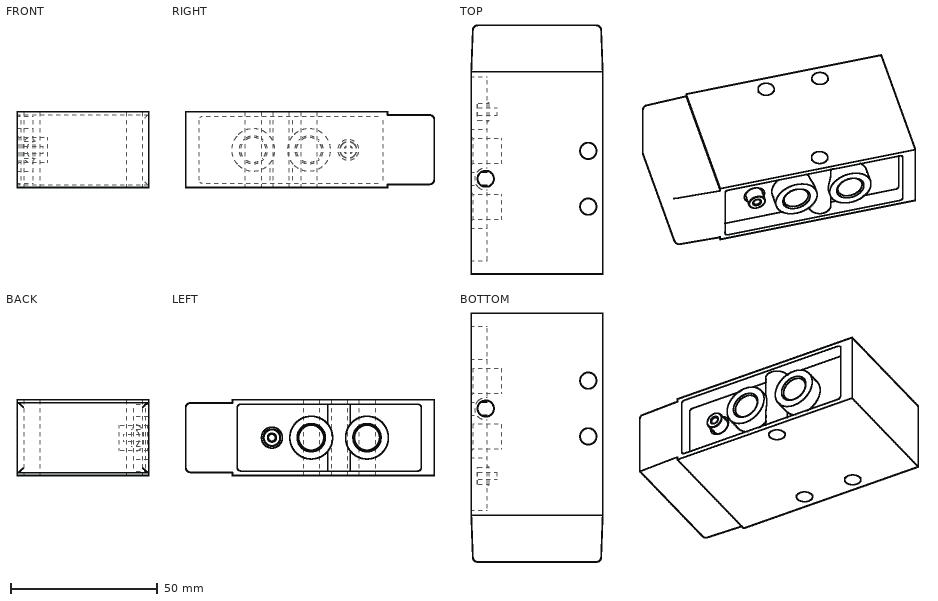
import cadquery as cq

length = 85.0
width = 45.0
height = 26.0
body_length = 69.0
side_face = -width / 2

cap_height = 23.8
cap_taper = 0.6
cap_edge_radius = 1.8

hole_diameter = 5.5
hole_x = 17.5

port_spacing = 19.0
port_middle_y = 32.55
port_ys = (port_middle_y - port_spacing / 2, port_middle_y + port_spacing / 2)
port_outer_diameter = 14.6
port_bore_diameter = 8.6
port_bore_depth = 10.2
port_chamfer = 0.5

pocket_start_y = 4.5
pocket_end_y = 67.3
pocket_wall = 1.6
pocket_depth = 5.35
pocket_corner_radius = 1.1
pocket_floor = side_face + pocket_depth

column_diameter = 7.65

pilot_y = 55.5
pilot_diameter = 5.8
pilot_recess = 1.9
pilot_edge_chamfer = 0.13
pilot_countersink_diameter = 7.1
pilot_bore_diameter = 2.5
pilot_bore_chamfer = 0.25
pilot_bore_depth = 6.8
pilot_front = side_face + pilot_recess


def side_cylinder(y, diameter, start_x, depth):
    """Cylinder along +X at mid height, starting at start_x."""
    plane = cq.Plane(origin=(start_x, y, 0), xDir=(0, 1, 0), normal=(1, 0, 0))
    return cq.Workplane(plane).circle(diameter / 2).extrude(depth)


def chamfer_cone(y, diameter, start_x, chamfer):
    """45 degree cone along +X that narrows to the given diameter."""
    radius = diameter / 2
    start = cq.Vector(start_x, y, 0)
    along_x = cq.Vector(1, 0, 0)
    cone = cq.Solid.makeCone(radius + chamfer, radius, chamfer, start, along_x)
    return cq.Workplane(cone)


def make_cap():
    end_half_width = width / 2 - cap_taper
    outline = [
        (-width / 2, body_length),
        (width / 2, body_length),
        (end_half_width, length),
        (-end_half_width, length),
    ]
    cap = cq.Workplane("XY").polyline(outline).close().extrude(cap_height / 2, both=True)
    return cap.faces(">Y").edges().fillet(cap_edge_radius)


def make_pocket():
    pocket_length = pocket_end_y - pocket_start_y
    pocket = cq.Workplane("XY").box(
        pocket_depth, pocket_length, height - 2 * pocket_wall, centered=(False, False, True)
    )
    pocket = pocket.edges("|X").fillet(pocket_corner_radius)
    return pocket.translate((side_face, pocket_start_y, 0))


def make_column():
    column = cq.Workplane("XY").center(-hole_x, port_middle_y).circle(column_diameter / 2)
    return column.extrude(height / 2, both=True)


def make_mounting_holes():
    centres = [(-hole_x, port_middle_y)] + [(hole_x, y) for y in port_ys]
    holes = cq.Workplane("XY").pushPoints(centres).circle(hole_diameter / 2)
    return holes.extrude(height, both=True)


def make_port_boss(y):
    return side_cylinder(y, port_outer_diameter, side_face, pocket_depth)


def make_port_bore(y):
    bore = side_cylinder(y, port_bore_diameter, side_face, port_bore_depth)
    return bore.union(chamfer_cone(y, port_bore_diameter, side_face, port_chamfer))


def make_pilot_countersink():
    chamfer = (pilot_countersink_diameter - pilot_diameter) / 2
    return chamfer_cone(pilot_y, pilot_diameter, pocket_floor, chamfer)


def make_pilot_nipple():
    nipple = side_cylinder(pilot_y, pilot_diameter, pilot_front, pilot_bore_depth)
    return nipple.faces("<X").chamfer(pilot_edge_chamfer)


def make_pilot_bore():
    bore = side_cylinder(pilot_y, pilot_bore_diameter, pilot_front, pilot_bore_depth)
    return bore.union(chamfer_cone(pilot_y, pilot_bore_diameter, pilot_front, pilot_bore_chamfer))


body = cq.Workplane("XY").box(width, body_length, height, centered=(True, False, True))
result = body.union(make_cap()).cut(make_pocket())
result = result.union(make_column()).cut(make_mounting_holes())
for port_y in port_ys:
    result = result.union(make_port_boss(port_y)).cut(make_port_bore(port_y))
result = result.cut(make_pilot_countersink()).union(make_pilot_nipple()).cut(make_pilot_bore())